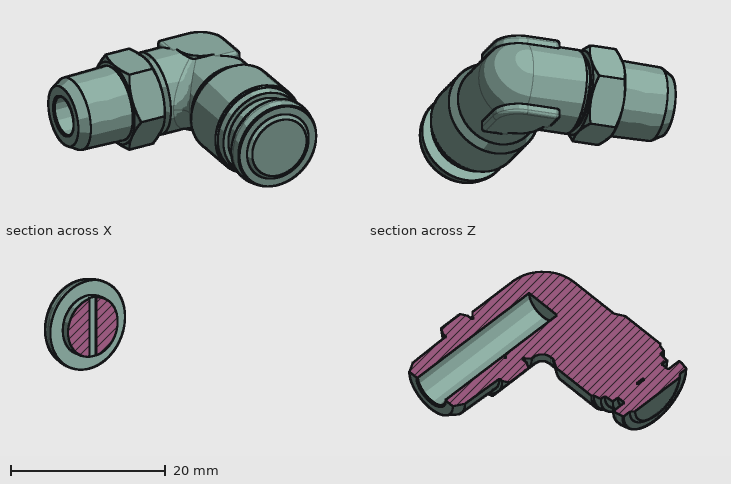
import cadquery as cq
import math


length_x = 27.45
length_y = 26.5
collar_diameter = 12.5
collar_radius = collar_diameter / 2

elbow_radius = 5.5
inner_corner_fillet = 1.5
elbow_end = 7.38
elbow_chamfer_end = 8.02
elbow_chamfer_radius = 4.9
neck_radius = 4.65

pad_margin = 3.49
pad_reach = 4.53
pad_edge_round = 0.5
pad_corner_round = 0.52
pad_height = elbow_radius

hex_across_flats = 2 * elbow_radius
hex_corner_radius = hex_across_flats / 2 / math.cos(math.radians(30))
hex_top = 8.25
hex_bottom = 12.75
hex_chamfer_angle = math.radians(30)

thread_root_radius = 4.97
thread_tip_radius = 4.83
thread_taper_end = 18.83
thread_end = length_y - collar_radius
thread_end_radius = 4.04

bore_radius = 2.55
bore_mouth_chamfer = 0.16

slit_start = 17.92
slit_length = 0.16
slit_width = 1.05

sleeve_neck_radius = 4.0
flange_radius = 5.98
flange_start = 19.05
flange_end = 20.7
part_end = length_x - hex_corner_radius
tube_arm_profile = [
    (7.5, elbow_radius),
    (8.8, collar_radius),
    (15.3, collar_radius),
    (15.5, 6.0),
    (16.52, 5.75),
    (16.58, 5.05),
    (slit_start, 4.95),
    (slit_start, sleeve_neck_radius),
    (flange_start, sleeve_neck_radius),
    (flange_start, flange_radius),
    (19.57, flange_radius),
    (20.53, 5.76),
    (flange_end, 5.65),
    (flange_end, 4.55),
    (part_end, sleeve_neck_radius),
]


def turned_about_x(profile):
    """Solid of revolution about X from (x, radius) points, closed along the axis."""
    outline = [(profile[0][0], 0)] + profile + [(profile[-1][0], 0)]
    return cq.Workplane("XY").polyline(outline).close().revolve(360, (0, 0, 0), (1, 0, 0))


def turned_about_y(profile):
    """Solid of revolution about Y from (distance below the corner, radius) points."""
    outline = [(0, -profile[0][0])]
    outline += [(radius, -depth) for depth, radius in profile]
    outline += [(0, -profile[-1][0])]
    return cq.Workplane("XY").polyline(outline).close().revolve(360, (0, 0, 0), (0, 1, 0))


def elbow():
    """Two equal cylinders meeting at a spherical outer corner."""
    tube_arm = cq.Workplane("YZ").circle(elbow_radius).extrude(tube_arm_profile[0][0])
    thread_arm = turned_about_y([
        (0, elbow_radius),
        (elbow_end, elbow_radius),
        (elbow_chamfer_end, elbow_chamfer_radius),
    ])
    corner = cq.Workplane("XY").sphere(elbow_radius)
    return tube_arm.union(thread_arm).union(corner)


def pads():
    """Flat-faced plate through the elbow whose faces show as pads on the +Z and -Z sides."""
    diagonal = pad_margin * math.cos(math.radians(45))
    plate = (
        cq.Workplane("XY")
        .workplane(offset=-pad_height)
        .moveTo(-pad_margin, -pad_reach)
        .lineTo(0, -pad_reach)
        .lineTo(0, -pad_margin)
        .threePointArc((diagonal, -diagonal), (pad_margin, 0))
        .lineTo(pad_reach, 0)
        .lineTo(pad_reach, pad_margin)
        .lineTo(0, pad_margin)
        .threePointArc((-diagonal, diagonal), (-pad_margin, 0))
        .close()
        .extrude(2 * pad_height)
    )
    for x, y in [(-pad_margin, -pad_reach), (pad_reach, pad_margin)]:
        plate = plate.edges(cq.selectors.NearestToPointSelector((x, y, 0))).fillet(pad_corner_round)
    for side in (-1, 1):
        rim_point = (-pad_margin, -pad_margin / 2, side * pad_height)
        plate = plate.edges(cq.selectors.NearestToPointSelector(rim_point)).fillet(pad_edge_round)
    return plate


def round_inner_corner(body):
    """Fillet the two edges where the arms meet on the inside of the elbow."""
    inner_zone = cq.selectors.BoxSelector(
        (pad_margin, -pad_margin, -elbow_radius),
        (elbow_radius, -elbow_radius, elbow_radius),
    )
    return body.edges(inner_zone).fillet(inner_corner_fillet)


def hexagon():
    """Hexagon with corners on +X and -X, its ends chamfered by a cone."""
    flat_radius = hex_across_flats / 2
    corner_drop = (hex_corner_radius - flat_radius) * math.tan(hex_chamfer_angle)
    prism = (
        cq.Workplane("XZ", origin=(0, -hex_top, 0))
        .polygon(6, 2 * hex_corner_radius)
        .extrude(hex_bottom - hex_top)
    )
    envelope = turned_about_y([
        (hex_top, flat_radius),
        (hex_top + corner_drop, hex_corner_radius),
        (hex_bottom - corner_drop, hex_corner_radius),
        (hex_bottom, flat_radius),
    ])
    return prism.intersect(envelope)


def thread_and_neck():
    """Neck between elbow and hexagon, running on inside the hexagon to the tapered thread."""
    neck = turned_about_y([(elbow_end, neck_radius), (hex_bottom, neck_radius)])
    thread = turned_about_y([
        (hex_bottom, thread_root_radius),
        (thread_taper_end, thread_tip_radius),
        (thread_end, thread_end_radius),
    ])
    return neck.union(thread)


def bore():
    """Blind bore up to the corner of the elbow, with a chamfered mouth."""
    return turned_about_y([
        (0, bore_radius),
        (thread_end - bore_mouth_chamfer, bore_radius),
        (thread_end, bore_radius + bore_mouth_chamfer),
    ])


def sleeve_slit():
    """Narrow slit through the release sleeve along Z, next to the sleeve shoulder."""
    return (
        cq.Workplane("XY")
        .center(slit_start + slit_length / 2, 0)
        .rect(slit_length, slit_width)
        .extrude(collar_radius, both=True)
    )


body = elbow().union(pads())
body = round_inner_corner(body)
body = body.union(turned_about_x(tube_arm_profile))
body = body.union(hexagon()).union(thread_and_neck())
result = body.cut(bore()).cut(sleeve_slit())